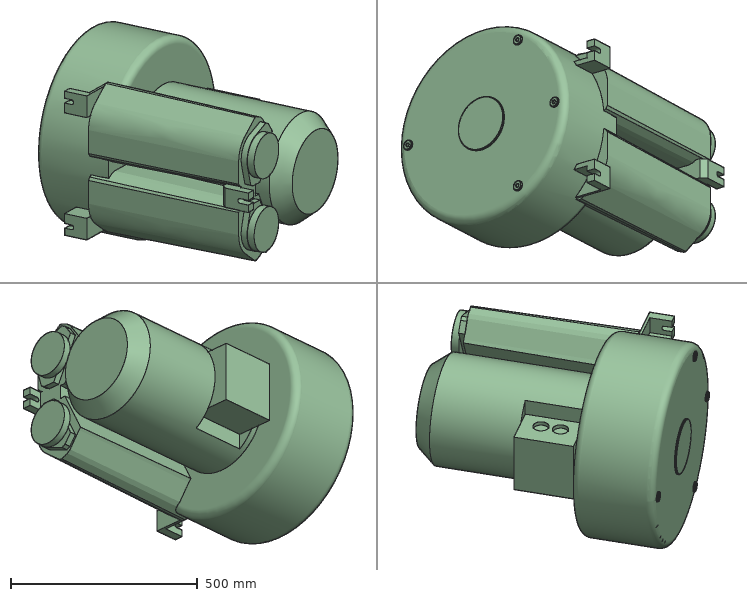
import cadquery as cq
import math


casing_radius = 280.0
casing_front = 5.0
casing_rear = 234.5
casing_fillet = 21.5

disc_radius = 76.0
disc_chamfer = 2.0
screw_circle_radius = 245.0
screw_angles = (0, 120, 180, 240)
screw_radius = 14.0
screw_chamfer = 2.0
screw_socket_diameter = 11.5
screw_socket_depth = 3.5

silencer_angle = 63.2
silencer_centre = 233.0
silencer_front = 179.0
silencer_rear = 648.0
silencer_taper = 0.8
silencer_arc_radius = 83.5
silencer_flank_angle = 26.8
silencer_neck = [(165.0, 70.0), (177.5, 75.0), (229.0, 101.0), (244.0, 104.0), (268.5, 102.0), (277.0, 97.0)]

plate_rear = 666.0
plate_arc_radius = 64.0
plate_flank_angle = 43.0
plate_neck = [(196.0, 70.5), (227.0, 86.0), (240.0, 86.0)]
stub_radius = 63.0
stub_rear = 687.5

base_y = -300.0
foot_thickness = 26.0
slot_width = 13.5
front_foot_front = 109.0
front_foot_inner = 144.0
front_foot_outer = 206.0
front_foot_web = 13.5
front_foot_back = 8.0
front_slot_depth = 28.0
front_slot_z = 179.0
rear_foot_front = 599.0
rear_foot_half_width = 28.0
rear_foot_chamfer = 15.0
rear_slot_depth = 33.0
rear_web_top = -199.5

bridge_half_width = 26.0

motor_radius = 155.0
motor_rear = 712.5
motor_end_radius = 117.0
motor_cone_start = 664.0

box_front = 252.0
box_rear = 417.5
box_bottom = 85.0
box_top = 197.5
box_half_height = 85.5
entry_radius = 21.5
entry_depth = 11.0
entry_y = 129.0
entry_xs = (307.0, 361.0)


def cylinder(radius, x_start, x_end):
    return cq.Workplane("YZ", origin=(x_start, 0, 0)).circle(radius).extrude(x_end - x_start)


def block(x_range, y_range, z_range):
    sizes = [high - low for low, high in (x_range, y_range, z_range)]
    corner = (x_range[0], y_range[0], z_range[0])
    return cq.Workplane("XY", origin=corner).box(*sizes, centered=False)


def radial_plane(x, side):
    """Plane at x with its first axis along the silencer's radial axis; side is +1 or -1 in Z."""
    angle = math.radians(silencer_angle)
    radial = (0, -math.sin(angle), side * math.cos(angle))
    return cq.Workplane(cq.Plane(origin=(x, 0, 0), xDir=radial, normal=(1, 0, 0)))


def duct_outline(plane, neck, arc_radius, flank_angle):
    """Closed symmetric outline: neck, sloping flanks and an outer arc tangent to the flanks."""
    angle = math.radians(flank_angle)
    arc_u = silencer_centre + arc_radius * math.cos(angle)
    arc_v = arc_radius * math.sin(angle)
    outline = plane.polyline(neck + [(arc_u, arc_v)])
    outline = outline.threePointArc((silencer_centre + arc_radius, 0), (arc_u, -arc_v))
    return outline.polyline([(u, -v) for u, v in reversed(neck)], includeCurrent=True).close()


def make_silencer(side):
    duct = duct_outline(
        radial_plane(silencer_front, side), silencer_neck, silencer_arc_radius, silencer_flank_angle
    ).extrude(silencer_rear - silencer_front, taper=silencer_taper)
    plate = duct_outline(
        radial_plane(silencer_rear, side), plate_neck, plate_arc_radius, plate_flank_angle
    ).extrude(plate_rear - silencer_rear)
    stub = (
        radial_plane(plate_rear, side)
        .center(silencer_centre, 0)
        .circle(stub_radius)
        .extrude(stub_rear - plate_rear)
    )
    return duct.union(plate).union(stub)


def slot_cutter(x_open, x_end, z):
    """Slot through the foot plate, open at x_open and round at x_end."""
    radius = slot_width / 2
    x_centre = x_end + math.copysign(radius, x_open - x_end)
    y_range = (base_y, base_y + foot_thickness)
    straight = block(sorted((x_open, x_centre)), y_range, (z - radius, z + radius))
    round_end = (
        cq.Workplane("XZ", origin=(x_centre, y_range[1], z)).circle(radius).extrude(foot_thickness)
    )
    return straight.union(round_end)


def make_front_foot():
    """Upper front foot: slotted base plate, inner web and back wall, running into the casing."""
    x_range = (front_foot_front, silencer_front)
    z_range = (front_foot_inner, front_foot_outer)
    plate_top = base_y + foot_thickness
    inside_casing = -math.sqrt(casing_radius**2 - front_foot_outer**2) + casing_fillet
    plate = block(x_range, (base_y, plate_top), z_range)
    web = block(x_range, (base_y, inside_casing), (front_foot_inner, front_foot_inner + front_foot_web))
    back = block((silencer_front - front_foot_back, silencer_front), (base_y, inside_casing), z_range)
    slot = slot_cutter(front_foot_front, front_foot_front + front_slot_depth, front_slot_z)
    return plate.union(web).union(back).cut(slot)


def make_rear_foot():
    """Rear foot on the base centreline, on a web that joins the two silencers."""
    z_range = (-rear_foot_half_width, rear_foot_half_width)
    plate = block((rear_foot_front, stub_rear), (base_y, base_y + foot_thickness), z_range)
    plate = plate.edges("<X and <Y").chamfer(rear_foot_chamfer)
    web = block((rear_foot_front, silencer_rear), (base_y + foot_thickness, rear_web_top), z_range)
    slot = slot_cutter(stub_rear, stub_rear - rear_slot_depth, 0)
    return plate.union(web).cut(slot)


def make_bridge():
    """Square-edged strip of the casing wall between the silencers."""
    strip = block(
        (silencer_front, casing_rear),
        (-casing_radius, -casing_radius + 2 * casing_fillet),
        (-bridge_half_width, bridge_half_width),
    )
    return strip.intersect(cylinder(casing_radius, silencer_front, casing_rear))


def make_screw(angle):
    """Chamfered screw head with a hexagon socket."""
    y = screw_circle_radius * math.cos(math.radians(angle))
    z = screw_circle_radius * math.sin(math.radians(angle))
    face = cq.Workplane("YZ", origin=(0, y, z))
    head = face.circle(screw_radius).extrude(casing_front).faces("<X").edges().chamfer(screw_chamfer)
    socket = face.polygon(6, screw_socket_diameter).extrude(screw_socket_depth)
    return head.cut(socket)


def make_casing():
    casing = cylinder(casing_radius, casing_front, casing_rear).edges().fillet(casing_fillet)
    disc = cylinder(disc_radius, 0, casing_front).faces("<X").edges().chamfer(disc_chamfer)
    casing = casing.union(disc)
    for angle in screw_angles:
        casing = casing.union(make_screw(angle))
    for side in (1, -1):
        casing = casing.union(make_silencer(side))
    front_foot = make_front_foot()
    casing = casing.union(front_foot).union(front_foot.mirror("XY"))
    return casing.union(make_bridge()).union(make_rear_foot())


def make_motor():
    """Round motor with a conical end and a flat-bottomed notch that seats the terminal box."""
    profile = [
        (casing_rear, 0),
        (casing_rear, motor_radius),
        (motor_cone_start, motor_radius),
        (motor_rear, motor_end_radius),
        (motor_rear, 0),
    ]
    motor = cq.Workplane("XY").polyline(profile).close().revolve(360, (0, 0, 0), (1, 0, 0))
    notch = block((box_front, box_rear), (box_bottom, motor_radius), (-motor_radius, motor_radius))
    return motor.cut(notch)


def make_terminal_box():
    """Box standing on the notch in the +Y side of the motor, with two cable entries in its +Z face."""
    box = block((box_front, box_rear), (box_bottom, box_top), (-box_half_height, box_half_height))
    entries = (
        cq.Workplane("XY", origin=(0, 0, box_half_height))
        .pushPoints([(x, entry_y) for x in entry_xs])
        .circle(entry_radius)
        .extrude(-entry_depth)
    )
    return box.cut(entries)


casing = make_casing()
motor = make_motor()
terminal_box = make_terminal_box()

result = cq.Compound.makeCompound([casing.val(), motor.val(), terminal_box.val()])